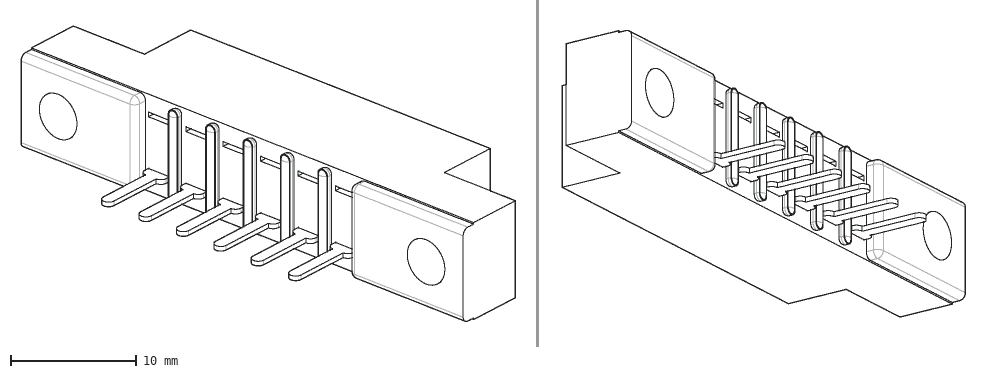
import cadquery as cq

LENGTH = 46.8
HEIGHT = 8.7
BLOCK_LENGTH = 31.72
BLOCK_DEPTH = 10.7
EAR_DEPTH = 5.1

PAD_INNER_X = 11.3
PAD_THICKNESS = 1.25
PAD_ROUND = 0.55
PAD_INSET = 0.15

HOLE_DIAMETER = 4.0
HOLE_SPACING = 38.95

CONTACT_COUNT = 6
CONTACT_SPAN = 19.8
CONTACT_PITCH = CONTACT_SPAN / (CONTACT_COUNT - 1)
ROW_Z = 2.55

RIB_COUNT = CONTACT_COUNT - 1
RIB_RADIUS = 0.5
RIB_HEIGHT = 0.8
RIB_INSET = 0.2

PIN_THICKNESS = 0.4
SHOULDER_WIDTH = 2.25
SHOULDER_LENGTH = 1.0
BLADE_WIDTH = 1.1
BLADE_LENGTH = 6.7
SHOULDER_ROUND = (SHOULDER_WIDTH - BLADE_WIDTH) / 2
TIP_RADIUS = BLADE_WIDTH / 2

PAD_SPAN = HEIGHT - 2 * PAD_INSET
RIB_SPAN = HEIGHT - 2 * RIB_INSET


def row_positions(count):
    """X places of a centred row at the contact pitch."""
    return [(i - (count - 1) / 2) * CONTACT_PITCH for i in range(count)]


def make_base():
    """Central block and ears, from the seating face back."""
    ears = cq.Workplane("XY").box(LENGTH, EAR_DEPTH, HEIGHT, centered=(True, False, True))
    block = cq.Workplane("XY").box(BLOCK_LENGTH, BLOCK_DEPTH, HEIGHT, centered=(True, False, True))
    return ears.union(block)


def make_left_pad():
    """Left ear pad, rounded on every exposed edge except those of the outer end."""
    pad_length = LENGTH / 2 - PAD_INNER_X
    pad = (
        cq.Workplane("XY")
        .box(pad_length, PAD_THICKNESS, PAD_SPAN)
        .edges("|Y and >X")
        .fillet(PAD_ROUND)
        .faces("<Y")
        .edges("not <X")
        .fillet(PAD_ROUND)
    )
    return pad.translate((-PAD_INNER_X - pad_length / 2, -PAD_THICKNESS / 2, 0))


def make_rib(x):
    """Upright rib with a half-round front and ball ends."""
    crown_y = RIB_RADIUS - RIB_HEIGHT
    core_height = RIB_SPAN - 2 * RIB_RADIUS
    foot = (
        cq.Workplane("XZ")
        .slot2D(RIB_SPAN, 2 * RIB_RADIUS, 90)
        .extrude(-crown_y)
        .translate((0, crown_y, 0))
    )
    crown = cq.Workplane("XY", origin=(0, crown_y, -core_height / 2)).circle(RIB_RADIUS).extrude(core_height)
    rib = foot.union(crown)
    for end_z in (-core_height / 2, core_height / 2):
        rib = rib.union(cq.Workplane("XY").sphere(RIB_RADIUS).translate((0, crown_y, end_z)))
    return rib.translate((x, 0, 0))


def make_slots():
    """Both rows of contact slots, running right through the central block."""
    centers = [(x, z) for x in row_positions(CONTACT_COUNT) for z in (-ROW_Z, ROW_Z)]
    return (
        cq.Workplane("XZ")
        .pushPoints(centers)
        .rect(SHOULDER_WIDTH, PIN_THICKNESS)
        .extrude(-BLOCK_DEPTH)
    )


def make_mounting_holes():
    """One through hole in each ear."""
    return (
        cq.Workplane("XZ")
        .pushPoints([(-HOLE_SPACING / 2, 0), (HOLE_SPACING / 2, 0)])
        .circle(HOLE_DIAMETER / 2)
        .extrude(EAR_DEPTH + PAD_THICKNESS, both=True)
    )


def make_housing():
    left_pad = make_left_pad()
    body = make_base().union(left_pad).union(left_pad.mirror("YZ"))
    for x in row_positions(RIB_COUNT):
        body = body.union(make_rib(x))
    return body.cut(make_slots()).cut(make_mounting_holes())


def make_pin(x):
    """Flat pin: a wide shank in the housing, a round shoulder and a round-tipped blade."""
    shank_length = BLOCK_DEPTH + SHOULDER_LENGTH
    shank = (
        cq.Workplane("XY")
        .box(SHOULDER_WIDTH, shank_length, PIN_THICKNESS)
        .edges("|Z and <Y")
        .fillet(SHOULDER_ROUND)
        .translate((0, shank_length / 2 - SHOULDER_LENGTH, 0))
    )
    tip_center_y = TIP_RADIUS - BLADE_LENGTH
    blade = (
        cq.Workplane("XY", origin=(0, 0, -PIN_THICKNESS / 2))
        .moveTo(-TIP_RADIUS, 0)
        .lineTo(-TIP_RADIUS, tip_center_y)
        .threePointArc((0, -BLADE_LENGTH), (TIP_RADIUS, tip_center_y))
        .lineTo(TIP_RADIUS, 0)
        .close()
        .extrude(PIN_THICKNESS)
    )
    return shank.union(blade).translate((x, 0, -ROW_Z))


housing = make_housing()
pins = [make_pin(x) for x in row_positions(CONTACT_COUNT)]

result = cq.Compound.makeCompound([housing.solids().val(), *[pin.solids().val() for pin in pins]])